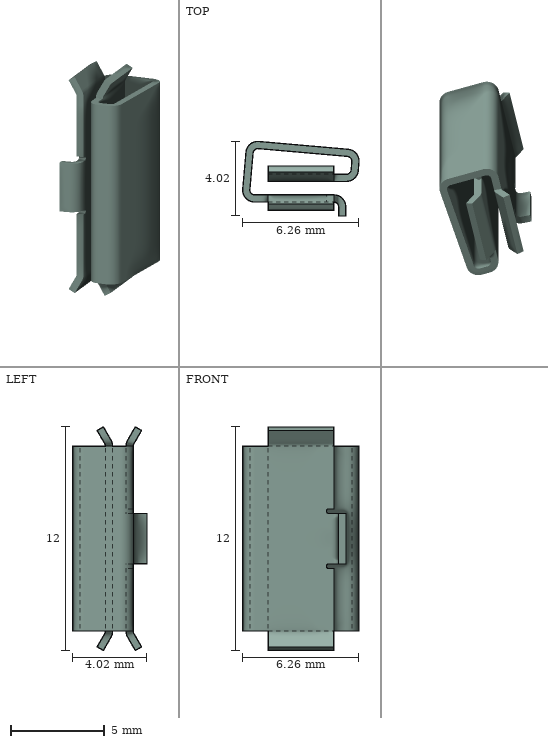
import cadquery as cq
import math

thickness = 0.4
inner_radius = 0.25
outer_radius = inner_radius + thickness
mid_radius = inner_radius + thickness / 2

wall_tilt = 5
lip_length = 4.2
right_wall_length = 0.45
back_wall_length = 4.81
strip_gap = 0.71

tab_left = 1.37
tab_width = 3.52
tab_right = tab_left + tab_width
tab_angle = 30
tab_length = 0.83
tab_lean = math.radians(tab_angle)
tab_rise = outer_radius * math.sin(tab_lean) + tab_length * math.cos(tab_lean)

overall_height = 12.03
body_height = overall_height - 2 * tab_rise

hook_height = 2.71
hook_tip_length = 0.49
relief_width = 0.25
relief_depth = 0.4

front_mid_y = thickness / 2
lip_mid_y = front_mid_y + thickness + strip_gap


def step(point, heading, length):
    angle = math.radians(heading)
    return (point[0] + length * math.cos(angle), point[1] + length * math.sin(angle))


def straight(point, heading, length, width):
    """Flat sheet along the heading, centred on its own plane; returns solid and end point."""
    solid = (
        cq.Workplane("XY")
        .box(length, thickness, width, centered=(False, True, True))
        .rotate((0, 0, 0), (0, 0, 1), heading)
        .translate((point[0], point[1], 0))
    )
    return solid, step(point, heading, length)


def bend(point, heading, turn, width):
    """Round bend, left for a positive turn; returns solid, end point and new heading."""
    side = math.copysign(90, turn)
    centre = step(point, heading + side, mid_radius)
    start = heading - side
    middle = start + turn / 2
    end = start + turn
    solid = (
        cq.Workplane("XY")
        .workplane(offset=-width / 2)
        .moveTo(*step(centre, start, inner_radius))
        .threePointArc(step(centre, middle, inner_radius), step(centre, end, inner_radius))
        .lineTo(*step(centre, end, outer_radius))
        .threePointArc(step(centre, middle, outer_radius), step(centre, start, outer_radius))
        .close()
        .extrude(width)
    )
    return solid, step(centre, end, mid_radius), heading + turn


def make_body():
    """Follow the strip from the lip's free edge round to the front wall's free edge."""
    point = (tab_left, lip_mid_y)
    heading = 0
    body, point = straight(point, heading, lip_length, body_height)
    for turn, length in ((90 - wall_tilt, right_wall_length), (90, back_wall_length)):
        corner, point, heading = bend(point, heading, turn, body_height)
        wall, point = straight(point, heading, length, body_height)
        body = body.union(corner).union(wall)

    corner, point, heading = bend(point, heading, 90, body_height)
    body = body.union(corner)

    last_turn = 90 + wall_tilt
    last_bend_drop = mid_radius * (1 - math.cos(math.radians(last_turn)))
    left_wall_drop = point[1] - front_mid_y - last_bend_drop
    left_wall_length = left_wall_drop / math.cos(math.radians(wall_tilt))
    wall, point = straight(point, heading, left_wall_length, body_height)
    corner, point, heading = bend(point, heading, last_turn, body_height)
    front_wall, _ = straight(point, heading, tab_right - point[0], body_height)
    return body.union(wall).union(corner).union(front_wall)


def make_hook():
    curl, point, heading = bend((tab_right, front_mid_y), 0, -90, hook_height)
    tip, _ = straight(point, heading, hook_tip_length, hook_height)
    return curl.union(tip)


def make_relief(side):
    """Round-ended slot beside the hook; side is +1 above it and -1 below it."""
    return (
        cq.Workplane("XZ", origin=(tab_right, 0, side * (hook_height + relief_width) / 2))
        .slot2D(2 * relief_depth, relief_width)
        .extrude(-thickness)
    )


def make_tab(mid_y, lean):
    """Upper tab leaning towards +Y for lean = 1 and towards -Y for lean = -1."""
    curl, point, heading = bend((0, 0), 0, lean * tab_angle, tab_width)
    blade, _ = straight(point, heading, tab_length, tab_width)
    return (
        curl.union(blade)
        .rotate((0, 0, 0), (0, 1, 0), -90)
        .translate((tab_left + tab_width / 2, mid_y, body_height / 2))
    )


result = make_body().union(make_hook())

for side in (1, -1):
    result = result.cut(make_relief(side))

for mid_y, lean in ((front_mid_y, -1), (lip_mid_y, 1)):
    upper_tab = make_tab(mid_y, lean)
    result = result.union(upper_tab).union(upper_tab.mirror("XY"))